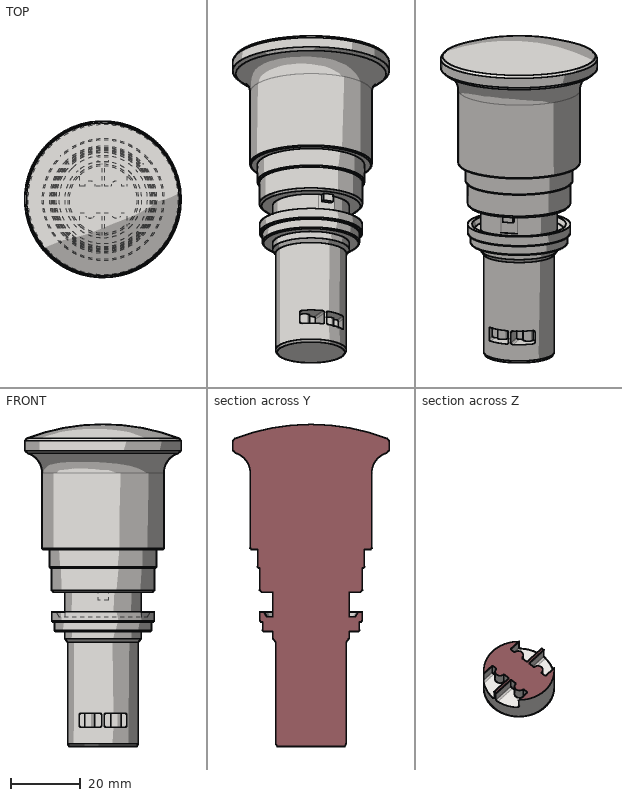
import cadquery as cq
import math

TOTAL_HEIGHT = 92.6

HEAD_DIA = 45.0
DOME_EDGE_Z = 88.5
HEAD_EDGE_CHAMFER = 0.6
HEAD_BAND_TOP_Z = 87.8
HEAD_BAND_BOTTOM_Z = 85.0
HEAD_UNDERSIDE_Z = 84.2
HEAD_UNDERSIDE_INSET = 0.9

BODY_DIA = 35.1
FLARE_BOTTOM_Z = 78.6
BODY_BOTTOM_Z = 56.6
BODY_CHAMFER = 0.4

UPPER_COLLAR_DIA = 30.8
UPPER_COLLAR_BOTTOM_Z = 51.2
UPPER_COLLAR_CHAMFER = 0.4
LOWER_COLLAR_DIA = 29.6
LOWER_COLLAR_BOTTOM_Z = 44.3
LOWER_COLLAR_CHAMFER_HEIGHT = 0.65
LOWER_COLLAR_CHAMFER_WIDTH = 0.65

NECK_DIA = 22.0
FLANGE_DIA = 29.5
FLANGE_TOP_Z = 38.7
FLANGE_STEP_Z = 35.7
FLANGE_STEP_DIA = 28.0
FLANGE_BOTTOM_Z = 33.0
FLANGE_CHAMFER = 0.4
RECESS_DIA = 27.0
RECESS_FLOOR_DIA = 25.4
RECESS_DEPTH = 1.4
NECK_BOTTOM_Z = 31.0

STEM_DIA = 20.4
STEM_TOP_Z = 29.9
STEM_CHAMFER_HEIGHT = 0.7
STEM_CHAMFER_WIDTH = 0.5

NECK_FLAT_Y = 10.7
KEY_OUTER_Y = 12.2
KEY_HEIGHT = 2.0
KEY_WIDTH = 3.0

WINDOW_BOTTOM_Z = 5.6
WINDOW_TOP_Z = 9.5
WINDOW_INNER_X = 0.4
WINDOW_OUTER_X = 6.85
WINDOW_CORNER_RADIUS = 0.6
WINDOW_BACK_Y = 3.9
POST_X = 3.8
POST_DIA = 3.0


def turned_body():
    """Solid of revolution from the plunger tip up to the domed head."""
    head_r = HEAD_DIA / 2
    body_r = BODY_DIA / 2
    upper_r = UPPER_COLLAR_DIA / 2
    lower_r = LOWER_COLLAR_DIA / 2
    neck_r = NECK_DIA / 2
    flange_r = FLANGE_DIA / 2
    step_r = FLANGE_STEP_DIA / 2
    stem_r = STEM_DIA / 2

    dome_edge_r = head_r - HEAD_EDGE_CHAMFER
    dome_rise = TOTAL_HEIGHT - DOME_EDGE_Z
    dome_radius = (dome_edge_r**2 + dome_rise**2) / (2 * dome_rise)
    dome_mid_r = dome_edge_r / 2
    dome_mid_z = TOTAL_HEIGHT - dome_radius + math.sqrt(dome_radius**2 - dome_mid_r**2)

    flare_top_r = head_r - HEAD_UNDERSIDE_INSET

    return (
        cq.Workplane("XZ")
        .moveTo(0, 0)
        .lineTo(stem_r - STEM_CHAMFER_WIDTH, 0)
        .lineTo(stem_r, STEM_CHAMFER_HEIGHT)
        .lineTo(stem_r, STEM_TOP_Z)
        .lineTo(neck_r, NECK_BOTTOM_Z)
        .lineTo(neck_r, FLANGE_BOTTOM_Z)
        .lineTo(step_r - FLANGE_CHAMFER, FLANGE_BOTTOM_Z)
        .lineTo(step_r, FLANGE_BOTTOM_Z + FLANGE_CHAMFER)
        .lineTo(step_r, FLANGE_STEP_Z)
        .lineTo(flange_r - FLANGE_CHAMFER, FLANGE_STEP_Z)
        .lineTo(flange_r, FLANGE_STEP_Z + FLANGE_CHAMFER)
        .lineTo(flange_r, FLANGE_TOP_Z)
        .lineTo(RECESS_DIA / 2, FLANGE_TOP_Z)
        .lineTo(RECESS_FLOOR_DIA / 2, FLANGE_TOP_Z - RECESS_DEPTH)
        .lineTo(neck_r, FLANGE_TOP_Z - RECESS_DEPTH)
        .lineTo(neck_r, LOWER_COLLAR_BOTTOM_Z)
        .lineTo(lower_r - LOWER_COLLAR_CHAMFER_WIDTH, LOWER_COLLAR_BOTTOM_Z)
        .lineTo(lower_r, LOWER_COLLAR_BOTTOM_Z + LOWER_COLLAR_CHAMFER_HEIGHT)
        .lineTo(lower_r, UPPER_COLLAR_BOTTOM_Z)
        .lineTo(upper_r - UPPER_COLLAR_CHAMFER, UPPER_COLLAR_BOTTOM_Z)
        .lineTo(upper_r, UPPER_COLLAR_BOTTOM_Z + UPPER_COLLAR_CHAMFER)
        .lineTo(upper_r, BODY_BOTTOM_Z)
        .lineTo(body_r - BODY_CHAMFER, BODY_BOTTOM_Z)
        .lineTo(body_r, BODY_BOTTOM_Z + BODY_CHAMFER)
        .lineTo(body_r, FLARE_BOTTOM_Z)
        .tangentArcPoint((flare_top_r, HEAD_UNDERSIDE_Z), relative=False)
        .lineTo(head_r, HEAD_BAND_BOTTOM_Z)
        .lineTo(head_r, HEAD_BAND_TOP_Z)
        .lineTo(dome_edge_r, DOME_EDGE_Z)
        .threePointArc((dome_mid_r, dome_mid_z), (0, TOTAL_HEIGHT))
        .close()
        .revolve(360, (0, 0, 0), (0, 1, 0))
    )


def keyed_neck(body):
    """Mill the flat on the neck and hang the key below the lower collar."""
    flat_height = LOWER_COLLAR_BOTTOM_Z - FLANGE_TOP_Z
    flat_depth = NECK_DIA / 2 - NECK_FLAT_Y
    flat = (
        cq.Workplane("XY", origin=(0, NECK_FLAT_Y, FLANGE_TOP_Z))
        .box(NECK_DIA, flat_depth, flat_height, centered=(True, False, False))
    )
    key = (
        cq.Workplane("XY", origin=(0, NECK_FLAT_Y, LOWER_COLLAR_BOTTOM_Z - KEY_HEIGHT))
        .box(KEY_WIDTH, KEY_OUTER_Y - NECK_FLAT_Y, KEY_HEIGHT, centered=(True, False, False))
    )
    return body.cut(flat).union(key)


def window_cutter(side_x, side_y):
    """Pocket shape for one window, less the post that stays standing in it."""
    width = WINDOW_OUTER_X - WINDOW_INNER_X
    height = WINDOW_TOP_Z - WINDOW_BOTTOM_Z
    depth = STEM_DIA / 2 - WINDOW_BACK_Y
    centre = (
        side_x * (WINDOW_INNER_X + WINDOW_OUTER_X) / 2,
        side_y * (WINDOW_BACK_Y + depth / 2),
        (WINDOW_BOTTOM_Z + WINDOW_TOP_Z) / 2,
    )
    pocket = (
        cq.Workplane("XY", origin=centre)
        .box(width, depth, height)
        .edges("|Y")
        .fillet(WINDOW_CORNER_RADIUS)
    )
    post = (
        cq.Workplane("XY", origin=(side_x * POST_X, side_y * WINDOW_BACK_Y, WINDOW_BOTTOM_Z))
        .circle(POST_DIA / 2)
        .extrude(height)
    )
    return pocket.cut(post)


result = keyed_neck(turned_body())
for side_x in (-1, 1):
    for side_y in (-1, 1):
        result = result.cut(window_cutter(side_x, side_y))